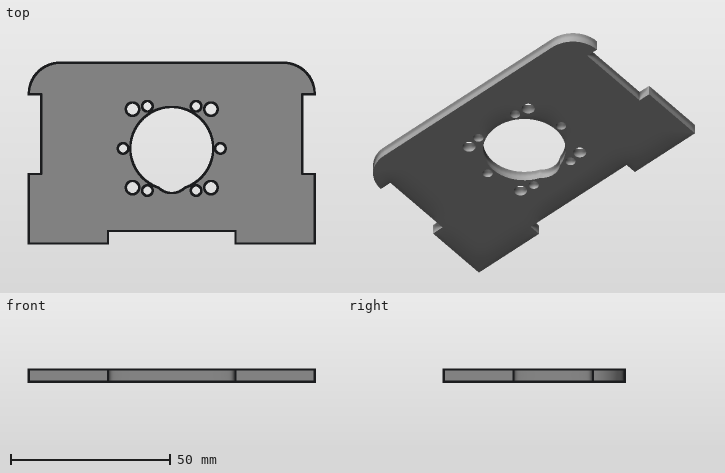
import cadquery as cq

length = 90.0
width = 57.0
thickness = 4.0
corner_radius = 10.0

notch_depth = thickness
side_notch_length = 25.0
front_notch_length = 40.0

opening_y = 30.0
opening_diameter = 26.0
relief_diameter = 12.0
relief_offset = 8.0

ring_radius = 15.3
ring_hole_count = 6
ring_hole_diameter = 3.2

square_spacing = 24.7
square_hole_diameter = 4.1


def make_plate():
    """Plate with its front edge on y = 0 and its two rear corners rounded."""
    plate = cq.Workplane("XY").box(length, width, thickness, centered=(True, False, False))
    return plate.edges("|Z and >Y").fillet(corner_radius)


def edge_notches():
    """Blocks that cut the two side notches and the front notch."""
    side_y = width - corner_radius - side_notch_length / 2
    side_x = length / 2 - notch_depth / 2
    sides = (
        cq.Workplane("XY")
        .pushPoints([(-side_x, side_y), (side_x, side_y)])
        .rect(notch_depth, side_notch_length)
        .extrude(thickness)
    )
    front = (
        cq.Workplane("XY")
        .center(0, notch_depth / 2)
        .rect(front_notch_length, notch_depth)
        .extrude(thickness)
    )
    return sides.union(front)


def motor_openings():
    """Central opening, its relief and the surrounding mounting holes."""
    base = cq.Workplane("XY").center(0, opening_y)
    opening = base.circle(opening_diameter / 2).extrude(thickness)
    relief = base.center(0, -relief_offset).circle(relief_diameter / 2).extrude(thickness)
    ring = (
        cq.Workplane("XY", origin=(0, opening_y, 0))
        .polarArray(ring_radius, 0, 360, ring_hole_count)
        .circle(ring_hole_diameter / 2)
        .extrude(thickness)
    )
    square = (
        cq.Workplane("XY", origin=(0, opening_y, 0))
        .rect(square_spacing, square_spacing, forConstruction=True)
        .vertices()
        .circle(square_hole_diameter / 2)
        .extrude(thickness)
    )
    return opening.union(relief).union(ring).union(square)


result = make_plate().cut(edge_notches()).cut(motor_openings())